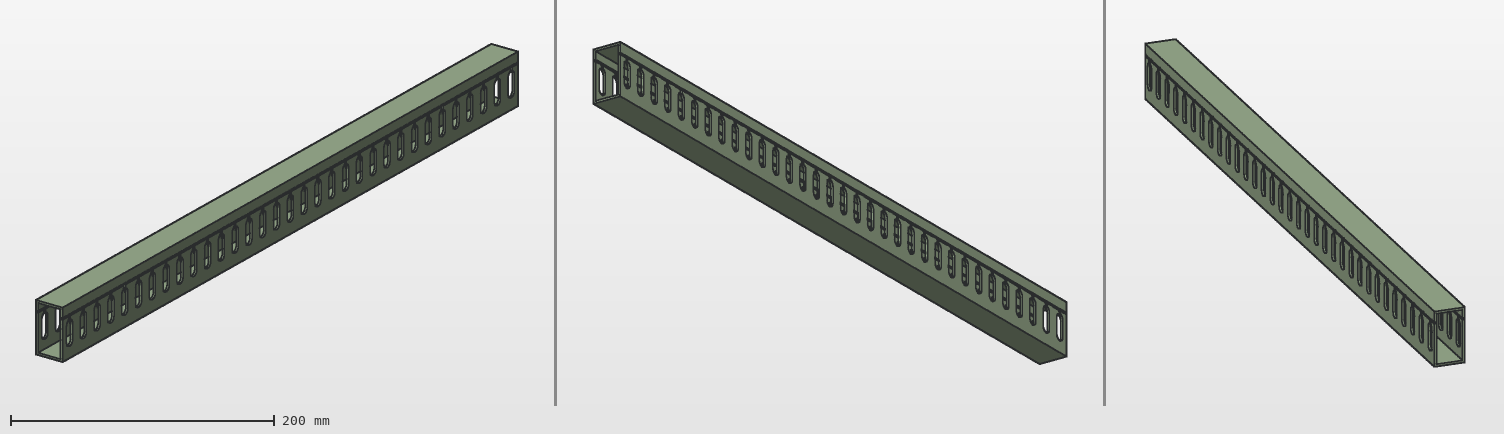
import cadquery as cq

LENGTH = 594.0
WIDTH = 25.0
WALL = 2.0

TRUNK_HEIGHT = 35.0

SLOT_COUNT = 33
SLOT_PITCH = LENGTH / SLOT_COUNT
SLOT_RADIUS = 4.0
SLOT_BOTTOM = 10.0
SLIT_DEPTH = 3.0
SLIT_WIDTH = 2.0
SLOT_TOP = TRUNK_HEIGHT - SLIT_DEPTH

LID_GAP = 1.0
LID_DEPTH = 9.0
LID_BOTTOM = TRUNK_HEIGHT + LID_GAP


def full_length_block(width, height, bottom):
    """Solid bar over the whole length, starting at the given Z."""
    return cq.Workplane("XY").workplane(offset=bottom).rect(width, LENGTH).extrude(height)


def slot_centres(height):
    """One point per slot at the given Z, on a YZ plane at the -X side."""
    first_y = (SLOT_PITCH - LENGTH) / 2
    points = [(first_y + i * SLOT_PITCH, height) for i in range(SLOT_COUNT)]
    return cq.Workplane("YZ").workplane(offset=-WIDTH / 2).pushPoints(points)


def slot_cutters():
    """Upright round-ended slots that pass through both side walls."""
    middle = (SLOT_BOTTOM + SLOT_TOP) / 2
    slots = slot_centres(middle).slot2D(SLOT_TOP - SLOT_BOTTOM, 2 * SLOT_RADIUS, 90)
    return slots.extrude(WIDTH)


def slit_cutters():
    """Narrow slits from the upper arc centres of the slots to the finger tops."""
    start = SLOT_TOP - SLOT_RADIUS
    middle = (start + TRUNK_HEIGHT) / 2
    return slot_centres(middle).rect(SLIT_WIDTH, TRUNK_HEIGHT - start).extrude(WIDTH)


def make_trunking():
    """U-shaped channel whose side walls are split into fingers."""
    channel = full_length_block(WIDTH, TRUNK_HEIGHT, 0)
    cavity = full_length_block(WIDTH - 2 * WALL, TRUNK_HEIGHT - WALL, WALL)
    return channel.cut(cavity).cut(slot_cutters()).cut(slit_cutters())


def make_lid():
    """Inverted channel with the same width and wall thickness as the trunking."""
    cover = full_length_block(WIDTH, LID_DEPTH, LID_BOTTOM)
    cavity = full_length_block(WIDTH - 2 * WALL, LID_DEPTH - WALL, LID_BOTTOM)
    return cover.cut(cavity)


trunking = make_trunking()
lid = make_lid()
result = cq.Compound.makeCompound([trunking.val(), lid.val()])